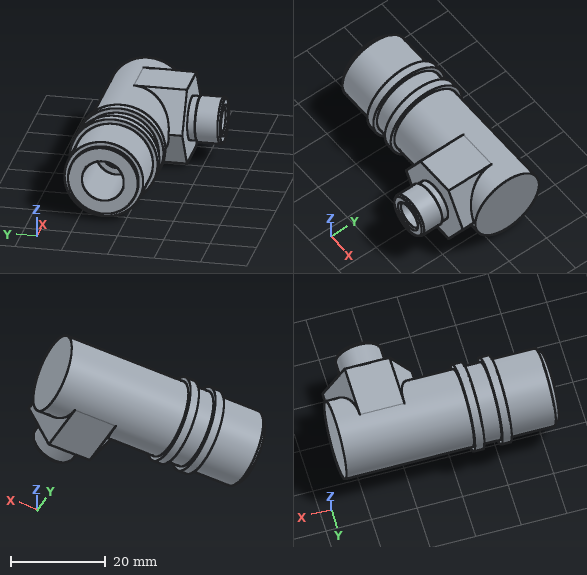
import cadquery as cq
import math


overall_length = 47.0
barrel_radius = 8.5
tip_radius = 7.5
tip_length = 1.0

ring_radius = 9.5
ring_width = 2.0
first_ring_start = 10.95
ring_pitch = 6.0
ring_starts = [first_ring_start, first_ring_start + ring_pitch]

branch_x = 36.7
hex_face_reach = 11.45
hex_across_flats = 2 * barrel_radius
hex_corner_diameter = hex_across_flats / math.cos(math.pi / 6)

branch_reach = 18.5
neck_radius = 4.75
neck_end = 13.05
thread_radius = 5.05
chamfer_angle = 30
end_chamfer_length = 0.45
end_chamfer_depth = end_chamfer_length * math.tan(math.radians(chamfer_angle))
back_chamfer_depth = thread_radius - neck_radius
back_chamfer_length = back_chamfer_depth * math.tan(math.radians(chamfer_angle))

bore_radius = 3.0
inlet_radius = 4.5
inlet_depth = 14.1
mouth_chamfer = 0.4


def cylinder_along_x(radius, start, length):
    """Solid cylinder around the X axis, beginning at X = start."""
    return cq.Workplane("YZ", origin=(start, 0, 0)).circle(radius).extrude(length)


def make_barrel():
    """Plain barrel with a reduced tip at the inlet end."""
    tip = cylinder_along_x(tip_radius, 0, tip_length)
    return cylinder_along_x(barrel_radius, tip_length, overall_length - tip_length).union(tip)


def make_hex_boss():
    """Hexagonal prism from the barrel axis out to the branch face."""
    return (
        cq.Workplane("XZ", origin=(branch_x, 0, 0))
        .polygon(6, hex_corner_diameter)
        .extrude(hex_face_reach)
    )


def make_branch():
    """Neck and chamfered threaded end, turned around the branch axis."""
    profile = [
        (0, 0),
        (neck_radius, 0),
        (neck_radius, -neck_end),
        (thread_radius, -(neck_end + back_chamfer_length)),
        (thread_radius, -(branch_reach - end_chamfer_length)),
        (thread_radius - end_chamfer_depth, -branch_reach),
        (0, -branch_reach),
    ]
    return (
        cq.Workplane("XY", origin=(branch_x, 0, 0))
        .polyline(profile)
        .close()
        .revolve(360, (0, 0), (0, 1))
    )


def make_elbow_bore():
    """Round passage from the inlet to the branch mouth with a mitred corner."""
    path = cq.Workplane("XY").polyline([(0, 0), (branch_x, 0), (branch_x, -branch_reach)])
    return cq.Workplane("YZ").circle(bore_radius).sweep(path, transition="right")


def make_branch_mouth():
    """Cone that bevels the open end of the branch bore."""
    mouth = cq.Solid.makeCone(
        bore_radius + mouth_chamfer,
        bore_radius,
        mouth_chamfer,
        pnt=cq.Vector(branch_x, -branch_reach, 0),
        dir=cq.Vector(0, 1, 0),
    )
    return cq.Workplane(obj=mouth)


def make_housing():
    """Barrel, boss and branch in one piece, with the passage cut through."""
    outside = make_barrel().union(make_hex_boss()).union(make_branch())
    inlet = cylinder_along_x(inlet_radius, 0, inlet_depth)
    return outside.cut(make_elbow_bore()).cut(inlet).cut(make_branch_mouth())


def make_ring(start):
    """Square-edged ring that fits snugly around the barrel."""
    return (
        cq.Workplane("YZ", origin=(start, 0, 0))
        .circle(ring_radius)
        .circle(barrel_radius)
        .extrude(ring_width)
    )


housing = make_housing()
rings = [make_ring(start) for start in ring_starts]

result = cq.Compound.makeCompound([housing.val(), *[ring.val() for ring in rings]])